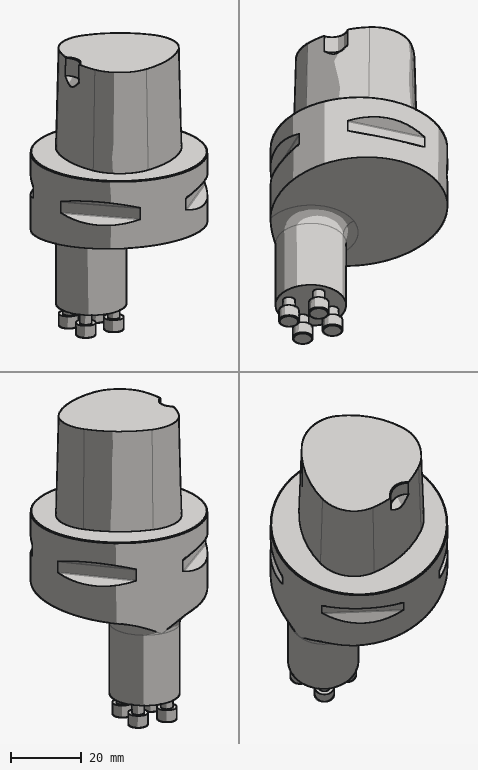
import cadquery as cq
import math


overall_height = 87.2
shank_height = 30.0

flange_radius = 50.0 / 2
flange_edge_chamfer = 0.3
flange_thin_side = 20.0
underside_angle = 10

stem_radius = 20.0 / 2
stem_x = stem_radius - flange_radius
stem_end_z = -50.0
root_fillet = 4.0

screw_count = 4
first_screw_angle = 45
screw_circle_radius = 6.5
screw_body_diameter = 3.5
screw_body_length = 3.5
head_diameter = 5.7
head_chamfer = 0.3
head_length = overall_height - shank_height + stem_end_z - screw_body_length

lobe_radius = 11.4
lobe_center_offset = 6.45
side_center_offset = 11.8
taper_ratio = 40
taper_growth = shank_height / taper_ratio
lobe_angles = (90, 210, 330)
lobe_to_side = 60

keyway_radius = 4.5
keyway_y = -18.2
keyway_depth = 5.5
keyway_chamfer = 0.3

groove_z = -9.9
groove_floor_width = 3.4
groove_corner_fillet = 0.3
groove_mouth_width = 7.0
groove_floor_distance = 22.15
groove_angles = (45, 135, 225, 315)


def polar(radius, angle):
    """Point at a radius and an angle in degrees."""
    return (radius * math.cos(math.radians(angle)), radius * math.sin(math.radians(angle)))


def shank_outline(z, growth):
    """Closed outline of six tangent arcs, moved outward by growth."""
    lobe = lobe_radius + growth
    along = lobe_center_offset + side_center_offset * math.cos(math.radians(lobe_to_side))
    across = side_center_offset * math.sin(math.radians(lobe_to_side))
    center_spacing = math.hypot(along, across)
    seam_direction = math.degrees(math.atan2(across, along))
    seam_x = lobe_center_offset + lobe * math.cos(math.radians(seam_direction))
    seam_y = lobe * math.sin(math.radians(seam_direction))
    seam_distance = math.hypot(seam_x, seam_y)
    seam_angle = math.degrees(math.atan2(seam_y, seam_x))

    lobe_distance = lobe_center_offset + lobe
    side_distance = lobe + center_spacing - side_center_offset
    start = polar(seam_distance, lobe_angles[0] - seam_angle)
    outline = cq.Workplane("XY", origin=(0, 0, z)).moveTo(*start)
    for angle in lobe_angles:
        outline = outline.threePointArc(
            polar(lobe_distance, angle), polar(seam_distance, angle + seam_angle)
        ).threePointArc(
            polar(side_distance, angle + lobe_to_side),
            polar(seam_distance, angle + 2 * lobe_to_side - seam_angle),
        )
    return outline.close().wire().val()


def make_shank():
    shank = cq.Solid.makeLoft([shank_outline(0, taper_growth), shank_outline(shank_height, 0)], True)
    floor_z = shank_height - keyway_depth
    keyway = (
        cq.Workplane("XZ")
        .moveTo(0, floor_z - keyway_radius)
        .lineTo(keyway_radius, floor_z)
        .lineTo(keyway_radius, shank_height - keyway_chamfer)
        .lineTo(keyway_radius + keyway_chamfer, shank_height)
        .lineTo(0, shank_height)
        .close()
        .revolve(360, (0, 0, 0), (0, 1, 0))
        .translate((0, keyway_y, 0))
    )
    return cq.Workplane(shank).cut(keyway)


def make_flange():
    """Flange whose underside is a cone about the stem axis, blended into the stem."""
    slope = math.radians(underside_angle)
    cone_overrun = 4.4
    far_radius = flange_radius - stem_x
    outer_radius = far_radius + cone_overrun
    fillet_center_radius = stem_radius + root_fillet
    outer_z = -flange_thin_side + (outer_radius - far_radius) * math.tan(slope)
    cone_radius = fillet_center_radius - root_fillet * math.sin(slope)
    cone_z = -flange_thin_side - (far_radius - cone_radius) * math.tan(slope)
    fillet_center_z = cone_z - root_fillet * math.cos(slope)
    middle_angle = (180 + 90 + underside_angle) / 2
    middle_x, middle_z = polar(root_fillet, middle_angle)

    blank = (
        cq.Workplane("XZ")
        .moveTo(0, fillet_center_z)
        .lineTo(stem_radius, fillet_center_z)
        .threePointArc(
            (fillet_center_radius + middle_x, fillet_center_z + middle_z), (cone_radius, cone_z)
        )
        .lineTo(outer_radius, outer_z)
        .lineTo(outer_radius, 0)
        .lineTo(0, 0)
        .close()
        .revolve(360, (0, 0, 0), (0, 1, 0))
        .translate((stem_x, 0, 0))
    )
    rim = (
        cq.Workplane("XY")
        .circle(flange_radius)
        .extrude(fillet_center_z)
        .faces(">Z")
        .chamfer(flange_edge_chamfer)
    )
    stem = (
        cq.Workplane("XY", origin=(stem_x, 0, stem_end_z))
        .circle(stem_radius)
        .extrude(fillet_center_z - stem_end_z)
    )
    return rim.intersect(blank).union(stem)


def make_groove(angle):
    """Straight groove with sloping walls, cut across the flange rim."""
    wall_slope = (groove_mouth_width - groove_floor_width) / (2 * (flange_radius - groove_floor_distance))
    beyond_rim = 0.9
    half_floor = groove_floor_width / 2
    half_mouth = groove_mouth_width / 2 + beyond_rim * wall_slope
    outer = flange_radius + beyond_rim
    return (
        cq.Workplane("XZ")
        .moveTo(groove_floor_distance, groove_z - half_floor)
        .lineTo(outer, groove_z - half_mouth)
        .lineTo(outer, groove_z + half_mouth)
        .lineTo(groove_floor_distance, groove_z + half_floor)
        .close()
        .extrude(flange_radius, both=True)
        .faces("<X")
        .edges("|Y")
        .fillet(groove_corner_fillet)
        .rotate((0, 0, 0), (0, 0, 1), angle)
    )


def screw_cylinders(top_z, diameter, length):
    """One cylinder per screw, hanging down from top_z."""
    return (
        cq.Workplane("XY", origin=(stem_x, 0, top_z))
        .polarArray(screw_circle_radius, first_screw_angle, 360, screw_count)
        .circle(diameter / 2)
        .extrude(-length)
    )


def make_screws():
    bodies = screw_cylinders(stem_end_z, screw_body_diameter, screw_body_length)
    heads = screw_cylinders(stem_end_z - screw_body_length, head_diameter, head_length)
    return bodies.union(heads.faces("<Z").chamfer(head_chamfer))


result = make_flange()
for groove_angle in groove_angles:
    result = result.cut(make_groove(groove_angle))
result = result.union(make_shank()).union(make_screws())